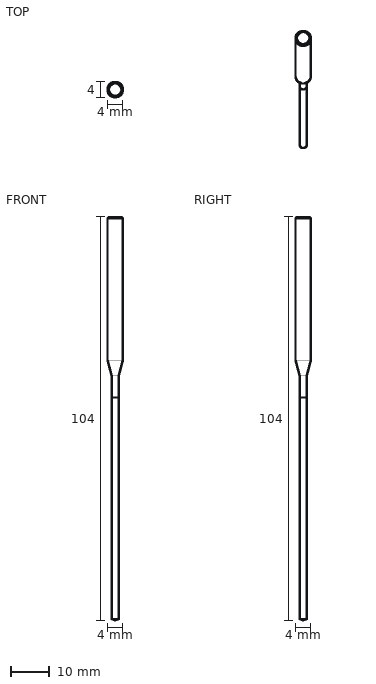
import cadquery as cq
import math

total_length = 104.0
shank_length = 37.0
cutting_length = 57.5

shank_diameter = 4.0
drill_diameter = 1.9
point_angle = 140.0
taper_half_angle = 15.0
shank_chamfer = 0.4

shank_radius = shank_diameter / 2
drill_radius = drill_diameter / 2
point_height = drill_radius / math.tan(math.radians(point_angle / 2))
taper_start = total_length - shank_length
taper_end = taper_start - (shank_radius - drill_radius) / math.tan(math.radians(taper_half_angle))


def turned_body(profile):
    """Turn a closed (distance from axis, height) profile about the Z axis."""
    outline = cq.Workplane("YZ").polyline([(-radius, height) for radius, height in profile]).close()
    return outline.revolve(360, (0, 0), (0, 1), clean=False)


def make_cutting_part():
    """Conical point followed by the drill diameter."""
    return turned_body([
        (0, 0),
        (drill_radius, point_height),
        (drill_radius, cutting_length),
        (0, cutting_length),
    ])


def make_holder():
    """Neck, taper and chamfered shank, standing on the end of the cutting part."""
    return turned_body([
        (0, cutting_length),
        (drill_radius, cutting_length),
        (drill_radius, taper_end),
        (shank_radius, taper_start),
        (shank_radius, total_length - shank_chamfer),
        (shank_radius - shank_chamfer, total_length),
        (0, total_length),
    ])


cutting_part = make_cutting_part()
holder = make_holder()

result = cq.Compound.makeCompound([cutting_part.val(), holder.val()])